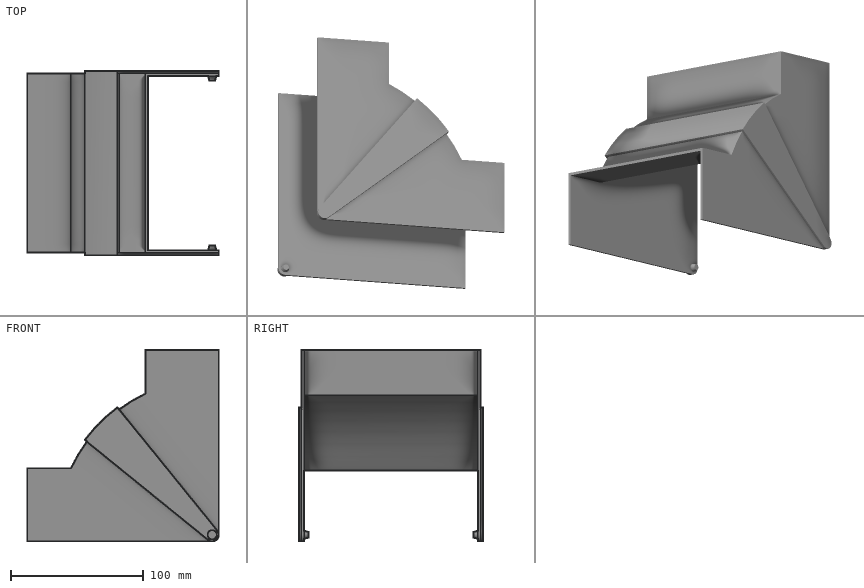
import cadquery as cq
import math

LEG_LENGTH = 145.0
OVERALL_WIDTH = 139.6
WALL = 2.0
LEG_DEPTH = 55.5

HINGE_RADIUS = 5.0
HINGE_X = -HINGE_RADIUS
HINGE_Z = HINGE_RADIUS

CORNER_RADIUS = 118.2
COVER_RADIUS = CORNER_RADIUS + WALL
COVER_HALF_ANGLE = 8.35

SHANK_RADIUS = 3.5
COLLAR_RADIUS = 2.9
COLLAR_LENGTH = 0.8
TIP_RADIUS = 2.2
TIP_LENGTH = 3.5

CORNER_WIDTH = OVERALL_WIDTH - 2 * WALL
CHANNEL_WIDTH = CORNER_WIDTH - 2 * WALL


def hinge_point(radius, angle):
    """Point at a distance from the hinge axis, at an angle up from the -X direction."""
    turn = math.radians(angle)
    return (HINGE_X - radius * math.cos(turn), HINGE_Z + radius * math.sin(turn))


def extrude_centred(outline, width):
    """Extrude an XZ outline to a width that is centred on Y = 0."""
    return outline.extrude(width / 2, both=True)


def cylinder_on_hinge(radius, width):
    return extrude_centred(cq.Workplane("XZ").center(HINGE_X, HINGE_Z).circle(radius), width)


def corner_outline(inset):
    """Side outline of the corner with its back faces moved inwards by the inset."""
    radius = CORNER_RADIUS - inset
    depth = LEG_DEPTH - inset
    leg_angle = math.degrees(math.asin((depth - HINGE_Z) / radius))
    lower_end = hinge_point(radius, leg_angle)
    upper_end = hinge_point(radius, 90 - leg_angle)
    return (
        cq.Workplane("XZ")
        .moveTo(0, LEG_LENGTH)
        .lineTo(-depth, LEG_LENGTH)
        .lineTo(*upper_end)
        .threePointArc(hinge_point(radius, 45), lower_end)
        .lineTo(-LEG_LENGTH, depth)
        .lineTo(-LEG_LENGTH, 0)
        .lineTo(HINGE_X, 0)
        .threePointArc(hinge_point(HINGE_RADIUS, 225), (0, HINGE_Z))
        .close()
    )


def cover_outline():
    """Side outline of the cover: a wedge with sides tangent to the rounded corner."""
    tangent_angle = COVER_HALF_ANGLE + math.degrees(math.acos(HINGE_RADIUS / COVER_RADIUS))
    return (
        cq.Workplane("XZ")
        .moveTo(*hinge_point(COVER_RADIUS, 45 - COVER_HALF_ANGLE))
        .threePointArc(hinge_point(COVER_RADIUS, 45), hinge_point(COVER_RADIUS, 45 + COVER_HALF_ANGLE))
        .lineTo(*hinge_point(HINGE_RADIUS, 45 + tangent_angle))
        .threePointArc(hinge_point(HINGE_RADIUS, 225), hinge_point(HINGE_RADIUS, 45 - tangent_angle))
        .close()
    )


def make_corner():
    """Channel-shaped corner with two legs, open towards +X and -Z."""
    body = extrude_centred(corner_outline(0), CORNER_WIDTH)
    channel = extrude_centred(corner_outline(WALL), CHANNEL_WIDTH)
    return body.cut(channel)


def make_cover():
    """Curved cover with two side plates that lie on the outside of the corner."""
    body = extrude_centred(cover_outline(), OVERALL_WIDTH)
    opening = cylinder_on_hinge(CORNER_RADIUS, CORNER_WIDTH)
    return body.cut(opening)


def make_pin(side):
    """Pin through both walls with a tapered inner end; side is -1 or 1 along Y."""
    outer_y = side * OVERALL_WIDTH / 2
    wall_y = side * CHANNEL_WIDTH / 2
    collar_y = wall_y - side * COLLAR_LENGTH
    tip_y = wall_y - side * TIP_LENGTH
    return (
        cq.Workplane("XY")
        .moveTo(0, outer_y)
        .lineTo(SHANK_RADIUS, outer_y)
        .lineTo(SHANK_RADIUS, wall_y)
        .lineTo(COLLAR_RADIUS, wall_y)
        .lineTo(COLLAR_RADIUS, collar_y)
        .lineTo(TIP_RADIUS, tip_y)
        .lineTo(0, tip_y)
        .close()
        .revolve(360, (0, 0, 0), (0, 1, 0))
        .translate((HINGE_X, 0, HINGE_Z))
    )


corner = make_corner()
cover = make_cover()
pins = [make_pin(side) for side in (-1, 1)]

for pin in pins:
    corner = corner.cut(pin)
    cover = cover.cut(pin)

result = cq.Compound.makeCompound([corner.val(), cover.val(), *[pin.val() for pin in pins]])